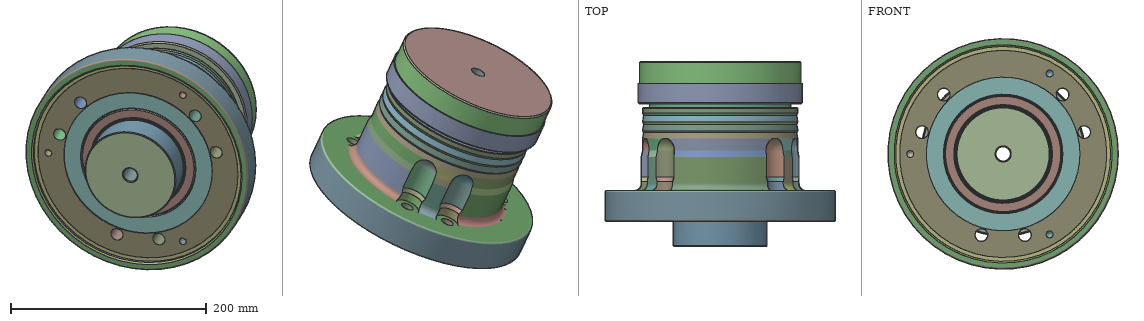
import cadquery as cq
import math


shaft_radius = 48.1
shaft_length = 25.7
shaft_chamfer = 1.0
bore_radius = 7.3
bore_chamfer = 1.0

flange_radius = 118
flange_thickness = 31.6
flange_edge_radius = 1.7

recess_radius = 110.0
recess_depth = 4.7
recess_chamfer = 1.7
plate_radius = 106.0
plate_height = 0.2
step_radius = 78.5
step_depth = 1.2

wide_groove_inner_radius = 59
wide_groove_outer_radius = 61.1
narrow_groove_inner_radius = 49.0
narrow_groove_outer_radius = 50.5

collar_height = 1.5

body_radius = 81.0
body_fillet = 6.8
body_taper_start = 65.5
body_taper_end = 72.5
land_radius = 79.5
land_end = 84.7

tooth_depth = 1.0
groove_starts = (land_end, 94.0, 102.5)
groove_bottoms = (90.9, 99.4, 108.5)
groove_ends = (92.5, 101.5, 111)
ring_end = 116.3
ring_chamfer = 0.7

neck_radius = 72.5
head_start = 120.4
head_step = 141.1
head_front_radius = 84.3
head_rear_radius = 82.8
head_chamfer = 1.5
total_length = 189.5
head_end = total_length - shaft_length

bolt_circle_radius = 86.0
bolt_hole_radius = 6.4
bolt_pair_angles = (30, 150, 270)
bolt_half_spread = 15
seat_radius = 12.5
seat_end = 40.5
scallop_radius = 14.2
scallop_start = 45.3
scallop_ball_centre = body_taper_end

pin_circle_radius = 95.0
pin_hole_radius = 3.5
pin_hole_depth = 11.8
pin_point_angle = 118
pin_angles = (60, 180, 300)


def turn(profile):
    """Revolve an XY half section about the Y axis."""
    return profile.close().revolve(360, (0, 0, 0), (0, 1, 0))


def place(tool, circle_radius, angle):
    """Move a tool built on the Y axis out to a pitch circle, at an angle from +X towards +Z."""
    return tool.translate((circle_radius, 0, 0)).rotate((0, 0, 0), (0, 1, 0), -angle)


def make_core():
    plate = recess_depth - plate_height
    floor = plate + step_depth
    collar = floor - collar_height
    wide_groove_middle = (wide_groove_inner_radius + wide_groove_outer_radius) / 2
    wide_groove_bottom = floor + wide_groove_outer_radius - wide_groove_middle
    narrow_groove_middle = (narrow_groove_inner_radius + narrow_groove_outer_radius) / 2
    narrow_groove_bottom = floor + narrow_groove_outer_radius - narrow_groove_middle
    fillet_middle = body_fillet * (1 - math.sqrt(0.5))
    edge_middle = flange_edge_radius * (1 - math.sqrt(0.5))
    section = (
        cq.Workplane("XY")
        .moveTo(bore_radius, bore_chamfer - shaft_length)
        .lineTo(bore_radius + bore_chamfer, -shaft_length)
        .lineTo(shaft_radius - shaft_chamfer, -shaft_length)
        .lineTo(shaft_radius, shaft_chamfer - shaft_length)
        .lineTo(shaft_radius, collar)
        .lineTo(narrow_groove_inner_radius, collar)
        .lineTo(narrow_groove_inner_radius, floor)
        .lineTo(narrow_groove_middle, narrow_groove_bottom)
        .lineTo(narrow_groove_outer_radius, floor)
        .lineTo(wide_groove_inner_radius, floor)
        .lineTo(wide_groove_middle, wide_groove_bottom)
        .lineTo(wide_groove_outer_radius, floor)
        .lineTo(step_radius, floor)
        .lineTo(step_radius, plate)
        .lineTo(plate_radius, plate)
        .lineTo(plate_radius, recess_depth)
        .lineTo(recess_radius, recess_depth)
        .lineTo(recess_radius, recess_chamfer)
        .lineTo(recess_radius + recess_chamfer, 0)
        .lineTo(flange_radius - flange_edge_radius, 0)
        .threePointArc(
            (flange_radius - edge_middle, edge_middle),
            (flange_radius, flange_edge_radius),
        )
        .lineTo(flange_radius, flange_thickness - flange_edge_radius)
        .threePointArc(
            (flange_radius - edge_middle, flange_thickness - edge_middle),
            (flange_radius - flange_edge_radius, flange_thickness),
        )
        .lineTo(body_radius + body_fillet, flange_thickness)
        .threePointArc(
            (body_radius + fillet_middle, flange_thickness + fillet_middle),
            (body_radius, flange_thickness + body_fillet),
        )
        .lineTo(body_radius, body_taper_start)
        .lineTo(land_radius, body_taper_end)
    )
    for start, bottom, end in zip(groove_starts, groove_bottoms, groove_ends):
        section = (
            section.lineTo(land_radius, start)
            .lineTo(land_radius - tooth_depth, bottom)
            .lineTo(land_radius, end)
        )
    section = (
        section.lineTo(land_radius, ring_end - ring_chamfer)
        .lineTo(land_radius - ring_chamfer, ring_end)
        .lineTo(neck_radius, ring_end)
        .lineTo(neck_radius, head_start)
        .lineTo(head_front_radius - head_chamfer, head_start)
        .lineTo(head_front_radius, head_start + head_chamfer)
        .lineTo(head_front_radius, head_step)
        .lineTo(head_rear_radius, head_step)
        .lineTo(head_rear_radius, head_end - head_chamfer)
        .lineTo(head_rear_radius - head_chamfer, head_end)
        .lineTo(bore_radius, head_end)
    )
    return turn(section)


def make_bolt_cutter():
    """Bolt hole, head seat and round-ended scallop as one turned tool."""
    ball_middle = scallop_radius * math.sqrt(0.5)
    return turn(
        cq.Workplane("XY")
        .lineTo(bolt_hole_radius, 0)
        .lineTo(bolt_hole_radius, flange_thickness)
        .lineTo(seat_radius, flange_thickness)
        .lineTo(seat_radius, seat_end)
        .lineTo(scallop_radius, scallop_start)
        .lineTo(scallop_radius, scallop_ball_centre)
        .threePointArc(
            (ball_middle, scallop_ball_centre + ball_middle),
            (0, scallop_ball_centre + scallop_radius),
        )
    )


def make_pin_cutter():
    """Blind hole with a drill-point bottom."""
    bottom = recess_depth + pin_hole_depth
    point_length = pin_hole_radius / math.tan(math.radians(pin_point_angle / 2))
    return turn(
        cq.Workplane("XY")
        .lineTo(pin_hole_radius, 0)
        .lineTo(pin_hole_radius, bottom)
        .lineTo(0, bottom + point_length)
    )


result = make_core()

bolt_cutter = make_bolt_cutter()
for pair_angle in bolt_pair_angles:
    for offset in (-bolt_half_spread, bolt_half_spread):
        result = result.cut(place(bolt_cutter, bolt_circle_radius, pair_angle + offset))

pin_cutter = make_pin_cutter()
for pin_angle in pin_angles:
    result = result.cut(place(pin_cutter, pin_circle_radius, pin_angle))